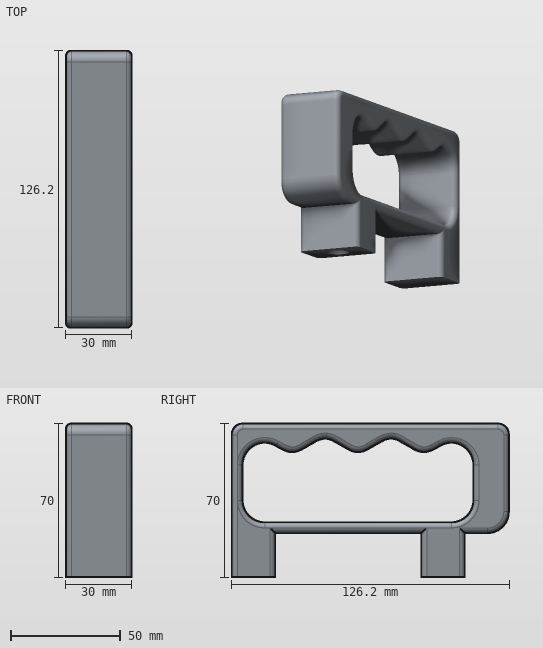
import cadquery as cq
import math

WIDTH = 30.0
LENGTH = 126.2
HEIGHT = 70.0
FRONT = -LENGTH / 2
BACK = LENGTH / 2

LEG_HEIGHT = 20.0
LEG_LENGTH = 20.0
BACK_OVERHANG = 20.1
TOP_CORNER_RADIUS = 5.0
BACK_CORNER_RADIUS = 10.0

FLOOR_THICKNESS = 5.0
FRONT_WALL = 5.0
RIM_FLAT = 0.05
EDGE_RADIUS = (FRONT_WALL - RIM_FLAT) / 2
BACK_WALL = 16.3
OPENING_RADIUS = 10.0
OPENING_TOP_GAP = 8.8
FINGER_PITCH = 30.0
FINGER_VALLEYS = 2
RIDGE_GAP = 13.1
VALLEY_GAP = 6.8
END_SLOPE = math.radians(30)

HOLE_DIAMETER = 10.0

leg_back = BACK - BACK_OVERHANG
back_leg_center = leg_back - LEG_LENGTH / 2


def block(y_min, y_max, z_min, z_max):
    """Full-width block between the given Y and Z limits."""
    return (
        cq.Workplane("XY")
        .box(WIDTH, y_max - y_min, z_max - z_min, centered=(True, False, False))
        .translate((0, y_min, z_min))
    )


def outer_body():
    """Frame with two legs, with rounded corners along its length."""
    body = block(FRONT, BACK, LEG_HEIGHT, HEIGHT)
    body = body.edges("|X and >Z").fillet(TOP_CORNER_RADIUS)
    body = body.edges("|X and >Y and <Z").fillet(BACK_CORNER_RADIUS)
    for y_min in (FRONT, leg_back - LEG_LENGTH):
        body = body.union(block(y_min, y_min + LEG_LENGTH, 0, LEG_HEIGHT))
    return body.clean()


def finger_opening():
    """Through opening whose upper side is a wave of finger grips."""
    y_front = FRONT + FRONT_WALL
    y_back = BACK - BACK_WALL
    y_mid = (y_front + y_back) / 2
    z_floor = LEG_HEIGHT + FLOOR_THICKNESS
    r = OPENING_RADIUS
    z_arc = HEIGHT - OPENING_TOP_GAP - r

    def end_arc_point(side, angle):
        """Point on an upper end arc, turned inward from straight up."""
        y_center = y_front + r if side < 0 else y_back - r
        return (y_center - side * r * math.sin(angle), z_arc + r * math.cos(angle))

    wave = []
    for half_step in range(FINGER_VALLEYS, -FINGER_VALLEYS - 1, -1):
        gap = RIDGE_GAP if half_step % 2 == 0 else VALLEY_GAP
        wave.append((y_mid + half_step * FINGER_PITCH / 2, HEIGHT - gap))
    wave.append(end_arc_point(-1, END_SLOPE))

    down = (-math.cos(END_SLOPE), -math.sin(END_SLOPE))
    up = (-math.cos(END_SLOPE), math.sin(END_SLOPE))
    diagonal = r * (1 - math.sqrt(0.5))
    profile = (
        cq.Workplane("YZ", origin=(-WIDTH / 2, 0, 0))
        .moveTo(y_back, z_arc)
        .threePointArc(end_arc_point(1, -END_SLOPE), end_arc_point(1, END_SLOPE))
        .spline(wave, tangents=[down, up], scale=False, includeCurrent=True)
        .threePointArc(end_arc_point(-1, -END_SLOPE), (y_front, z_arc))
        .lineTo(y_front, z_floor + r)
        .threePointArc((y_front + diagonal, z_floor + diagonal), (y_front + r, z_floor))
        .lineTo(y_back - r, z_floor)
        .threePointArc((y_back - diagonal, z_floor + diagonal), (y_back, z_floor + r))
        .close()
    )
    return profile.extrude(WIDTH)


def round_side_edges(body):
    """Round every edge of both side faces, leaving the feet sharp."""
    return body.faces("<X or >X").edges("not <Z").fillet(EDGE_RADIUS)


def leg_hole():
    """Vertical hole through the opening floor and the back leg."""
    return (
        cq.Workplane("XY")
        .center(0, back_leg_center)
        .circle(HOLE_DIAMETER / 2)
        .extrude(LEG_HEIGHT + FLOOR_THICKNESS + OPENING_RADIUS)
    )


handle = outer_body().cut(finger_opening())
result = round_side_edges(handle).cut(leg_hole())